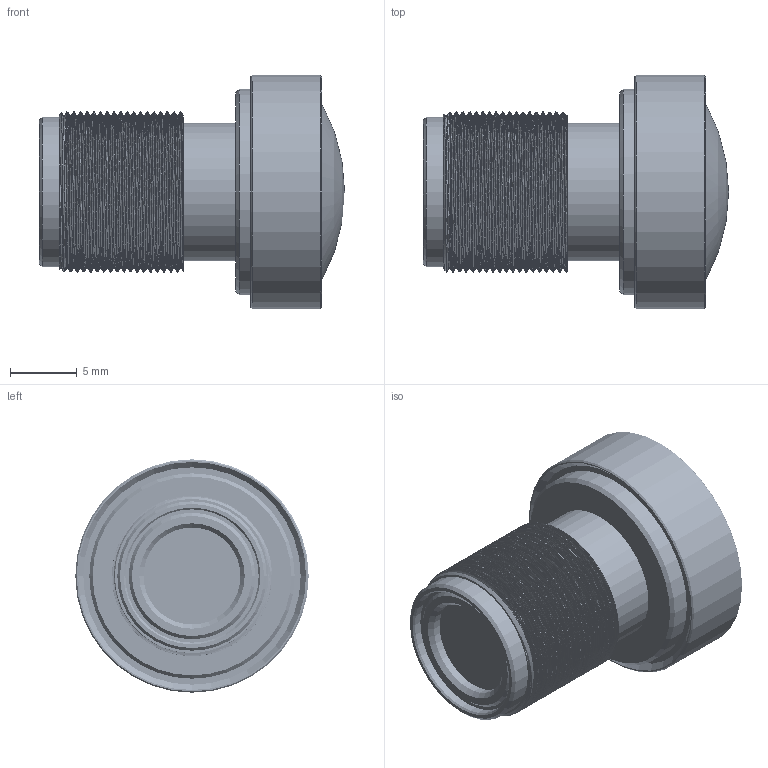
import cadquery as cq
import math


barrel_radius = 5.6
barrel_chamfer = 0.2
thread_start = 1.5
thread_end = 10.77
neck_radius = 5.15

thread_pitch = 0.5
thread_radius = 6.0
thread_depth = 0.27
thread_root_radius = thread_radius - thread_depth
thread_crest_width = thread_pitch / 8
thread_root_width = thread_pitch / 4
thread_lead_chamfer = 0.22
first_crest_offset = 0.09
flank_steps = 8
cut_margin = 0.1

flange_radius = 7.7
flange_start = 14.72
flange_chamfer = 0.25
head_radius = 8.75
head_start = 15.85
head_end = 21.15
head_chamfer = 0.1

recess_outer_radius = 8.55
recess_inner_radius = 8.15
recess_depth = 0.4

dome_radius = 6.65
overall_length = 22.88

rim_radius = 5.0
rim_chamfer = 0.12
rim_depth = 0.7
ring_base_radius = 4.74
ring_top_radius = 4.5
ring_height = ring_base_radius - ring_top_radius
aperture_mouth_radius = 3.95
aperture_radius = 3.63
aperture_depth = 1.36


def turned(profile):
    """Close an (axial, radial) profile and turn it about the X axis."""
    return profile.close().revolve(360, (0, 0, 0), (1, 0, 0))


def make_barrel_end():
    profile = (
        cq.Workplane("XZ")
        .moveTo(0, 0)
        .lineTo(0, barrel_radius - barrel_chamfer)
        .lineTo(barrel_chamfer, barrel_radius)
        .lineTo(thread_start, barrel_radius)
        .lineTo(thread_start, 0)
    )
    return turned(profile)


def make_neck_and_head():
    dome_height = overall_length - head_end
    sphere_radius = (dome_radius**2 + dome_height**2) / (2 * dome_height)
    half_angle = math.asin(dome_radius / sphere_radius) / 2
    dome_middle = (
        overall_length - sphere_radius * (1 - math.cos(half_angle)),
        sphere_radius * math.sin(half_angle),
    )
    profile = (
        cq.Workplane("XZ")
        .moveTo(thread_end, 0)
        .lineTo(thread_end, neck_radius)
        .lineTo(flange_start, neck_radius)
        .lineTo(flange_start, flange_radius - flange_chamfer)
        .lineTo(flange_start + flange_chamfer, flange_radius)
        .lineTo(head_start, flange_radius)
        .lineTo(head_start, head_radius - head_chamfer)
        .lineTo(head_start + head_chamfer, head_radius)
        .lineTo(head_end - head_chamfer, head_radius)
        .lineTo(head_end, head_radius - head_chamfer)
        .lineTo(head_end, dome_radius)
        .threePointArc(dome_middle, (overall_length, 0))
    )
    return turned(profile)


def make_rear_opening():
    ring_top = rim_depth - ring_height
    cone_depth = aperture_mouth_radius - aperture_radius
    profile = (
        cq.Workplane("XZ")
        .moveTo(0, 0)
        .lineTo(0, rim_radius + rim_chamfer)
        .lineTo(rim_chamfer, rim_radius)
        .lineTo(rim_depth, rim_radius)
        .lineTo(rim_depth, ring_base_radius)
        .lineTo(ring_top, ring_top_radius)
        .lineTo(ring_top, aperture_mouth_radius)
        .lineTo(ring_top + cone_depth, aperture_radius)
        .lineTo(aperture_depth, aperture_radius)
        .lineTo(aperture_depth, 0)
    )
    return turned(profile)


def make_head_recess():
    profile = (
        cq.Workplane("XZ")
        .moveTo(head_start, flange_radius)
        .lineTo(head_start, recess_outer_radius)
        .lineTo(head_start + recess_depth, recess_inner_radius)
        .lineTo(head_start + recess_depth, flange_radius)
    )
    return turned(profile)


def polar(radius, angle):
    return (radius * math.cos(angle), radius * math.sin(angle))


def flank_points(from_radius, to_radius, start_angle, sweep_angle):
    """Points after the first along a flank, whose radius changes evenly with the angle."""
    fractions = [step / flank_steps for step in range(1, flank_steps + 1)]
    return [
        polar(from_radius + (to_radius - from_radius) * fraction, start_angle + sweep_angle * fraction)
        for fraction in fractions
    ]


def make_thread_rod(start, turns):
    """Right-hand thread made by twisting its cross-section, with the crest first passing +Z
    at first_crest_offset from the start."""
    full_turn = 2 * math.pi
    crest_angle = full_turn * thread_crest_width / thread_pitch
    root_angle = full_turn * thread_root_width / thread_pitch
    flank_angle = (full_turn - crest_angle - root_angle) / 2
    crest_middle = math.pi / 2 - full_turn * first_crest_offset / thread_pitch
    crest_start = crest_middle - crest_angle / 2
    crest_end = crest_middle + crest_angle / 2
    root_middle = crest_middle + math.pi
    root_end = root_middle + root_angle / 2
    return (
        cq.Workplane("YZ", origin=(start, 0, 0))
        .moveTo(*polar(thread_radius, crest_start))
        .threePointArc(polar(thread_radius, crest_middle), polar(thread_radius, crest_end))
        .spline(
            flank_points(thread_radius, thread_root_radius, crest_end, flank_angle),
            includeCurrent=True,
        )
        .threePointArc(polar(thread_root_radius, root_middle), polar(thread_root_radius, root_end))
        .spline(
            flank_points(thread_root_radius, thread_radius, root_end, flank_angle),
            includeCurrent=True,
        )
        .close()
        .twistExtrude(turns * thread_pitch, turns * 360)
    )


def make_lead_chamfer():
    """Cone-sided ring that bevels the crests at the rear end of the thread."""
    lead_radius = thread_radius - thread_lead_chamfer
    outer_radius = thread_radius + cut_margin
    profile = (
        cq.Workplane("XZ")
        .moveTo(thread_start, lead_radius)
        .lineTo(thread_start, outer_radius)
        .lineTo(thread_start + outer_radius - lead_radius, outer_radius)
    )
    return turned(profile)


def make_thread():
    """Bevelled first turn, followed by the rest of the thread."""
    total_turns = (thread_end - thread_start) / thread_pitch
    first_turn = make_thread_rod(thread_start, 1).cut(make_lead_chamfer())
    return first_turn.union(make_thread_rod(thread_start + thread_pitch, total_turns - 1))


result = (
    make_barrel_end()
    .cut(make_rear_opening())
    .union(make_thread())
    .union(make_neck_and_head().cut(make_head_recess()))
)